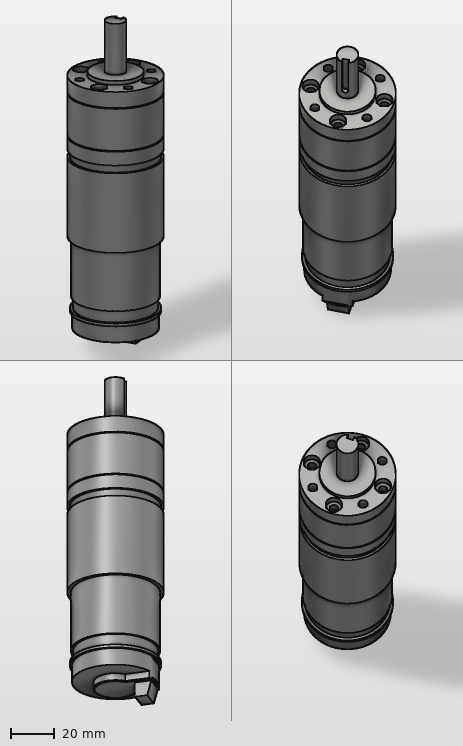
import cadquery as cq

TOTAL_HEIGHT = 161.4
PILOT_TOP = 136.4
GEARBOX_TOP = 134.5
GEARBOX_BOTTOM = 98.5
SLEEVE_TOP = 94.5
SLEEVE_BOTTOM = 55.7
MOTOR_BOTTOM = 26.5
RING_TOP = 20.7
RING_BOTTOM = 19.2
CAP_BOTTOM = 11.0
BOSS_BOTTOM = 7.1

SHAFT_DIA = 10.0
PILOT_DIA = 25.8
BODY_DIA = 44.4
NECK_DIA = 42.0
MOTOR_DIA = 41.0
MOTOR_END_DIA = 39.0
RING_DIA = 42.0
CAP_DIA = 40.0
BOSS_DIA = 20.2

SEAM_DIA = 44.2
SEAM_WIDTH = 0.5
UPPER_SEAM_HEIGHT = 126.4
LOWER_SEAM_HEIGHT = 105.4

KEYWAY_WIDTH = 3.0
KEYWAY_FLOOR_Y = 2.9
KEYWAY_BOTTOM = 140.4

BOLT_CIRCLE_RADIUS = 17.5
SCREW_HOLE_DIA = 4.0
COUNTERBORE_DIA = 7.6
COUNTERBORE_DEPTH = 3.5
TAPPED_HOLE_DIA = 4.2
HOLE_DEPTH = GEARBOX_TOP - UPPER_SEAM_HEIGHT

CARRIER_WIDTH = 14.2
BOSS_CHAMFER = 0.5
NOTCH_FACE_Y = 19.4
NOTCH_TOP = 18.7
NOTCH_BOTTOM = 8.5
TERMINAL_WIDTH = 10.0
TERMINAL_INNER_Y = 11.0
TERMINAL_ROOT_Y = 18.9
TERMINAL_TIP_Y = 17.0


def cylinder(diameter, bottom, top):
    """Solid cylinder on the Z axis between two heights."""
    return cq.Workplane("XY").workplane(offset=bottom).circle(diameter / 2).extrude(top - bottom)


def motor_stack():
    """Round sections from the end cap up to the shaft tip."""
    sections = [
        (MOTOR_END_DIA, RING_TOP, MOTOR_BOTTOM),
        (RING_DIA, RING_BOTTOM, RING_TOP),
        (MOTOR_DIA, MOTOR_BOTTOM, SLEEVE_BOTTOM),
        (BODY_DIA, SLEEVE_BOTTOM, SLEEVE_TOP),
        (NECK_DIA, SLEEVE_TOP, GEARBOX_BOTTOM),
        (BODY_DIA, GEARBOX_BOTTOM, GEARBOX_TOP),
        (PILOT_DIA, GEARBOX_TOP, PILOT_TOP),
        (SHAFT_DIA, PILOT_TOP, TOTAL_HEIGHT),
    ]
    stack = cylinder(CAP_DIA, CAP_BOTTOM, RING_BOTTOM)
    for diameter, bottom, top in sections:
        stack = stack.union(cylinder(diameter, bottom, top))
    return stack


def seam_groove(height):
    """Thin ring to cut, centred on the given height."""
    bottom = height - SEAM_WIDTH / 2
    top = height + SEAM_WIDTH / 2
    return cylinder(BODY_DIA, bottom, top).cut(cylinder(SEAM_DIA, bottom, top))


def keyway():
    """Slot with a round lower end, open at the shaft tip and on the +Y side."""
    radius = KEYWAY_WIDTH / 2
    end_centre = KEYWAY_BOTTOM + radius
    return (
        cq.Workplane("XZ", origin=(0, KEYWAY_FLOOR_Y, 0))
        .moveTo(-radius, TOTAL_HEIGHT)
        .lineTo(-radius, end_centre)
        .threePointArc((0, KEYWAY_BOTTOM), (radius, end_centre))
        .lineTo(radius, TOTAL_HEIGHT)
        .close()
        .extrude(-SHAFT_DIA / 2)
    )


def drill_gearbox_face(body):
    """Four counterbored holes on the axes and four plain holes between them."""
    face = cq.Workplane("XY", origin=(0, 0, GEARBOX_TOP))
    screw_points = face.polarArray(BOLT_CIRCLE_RADIUS, 0, 360, 4)
    screw_holes = screw_points.circle(SCREW_HOLE_DIA / 2).extrude(-HOLE_DEPTH)
    counterbores = screw_points.circle(COUNTERBORE_DIA / 2).extrude(-COUNTERBORE_DEPTH)
    tapped_points = face.polarArray(BOLT_CIRCLE_RADIUS, 45, 360, 4)
    tapped_holes = tapped_points.circle(TAPPED_HOLE_DIA / 2).extrude(-HOLE_DEPTH)
    return body.cut(screw_holes).cut(counterbores).cut(tapped_holes)


def terminal_carrier():
    """Round boss with an arm to +Y that ends on the cap's cylinder, chamfered below."""
    arm_length = CAP_DIA / 2
    arm = (
        cq.Workplane("XY", origin=(0, arm_length / 2, BOSS_BOTTOM))
        .rect(CARRIER_WIDTH, arm_length)
        .extrude(CAP_BOTTOM - BOSS_BOTTOM)
        .intersect(cylinder(CAP_DIA, BOSS_BOTTOM, CAP_BOTTOM))
    )
    boss = cylinder(BOSS_DIA, BOSS_BOTTOM, CAP_BOTTOM)
    return boss.union(arm).faces("<Z").chamfer(BOSS_CHAMFER)


def cap_notch():
    """Block that flattens the +Y side of the cap and carrier, leaving a lip below."""
    depth = CAP_DIA / 2 - NOTCH_FACE_Y
    return (
        cq.Workplane("XY", origin=(0, NOTCH_FACE_Y + depth / 2, NOTCH_BOTTOM))
        .rect(CAP_DIA, depth)
        .extrude(NOTCH_TOP - NOTCH_BOTTOM)
    )


def terminal():
    """Blade whose outer side slopes inwards towards its tip."""
    return (
        cq.Workplane("YZ")
        .moveTo(TERMINAL_INNER_Y, 0)
        .lineTo(TERMINAL_TIP_Y, 0)
        .lineTo(TERMINAL_ROOT_Y, BOSS_BOTTOM)
        .lineTo(TERMINAL_INNER_Y, BOSS_BOTTOM)
        .close()
        .extrude(TERMINAL_WIDTH / 2, both=True)
    )


result = motor_stack()
for seam_height in (UPPER_SEAM_HEIGHT, LOWER_SEAM_HEIGHT):
    result = result.cut(seam_groove(seam_height))
result = drill_gearbox_face(result.cut(keyway()))
result = result.union(terminal_carrier()).cut(cap_notch()).union(terminal())